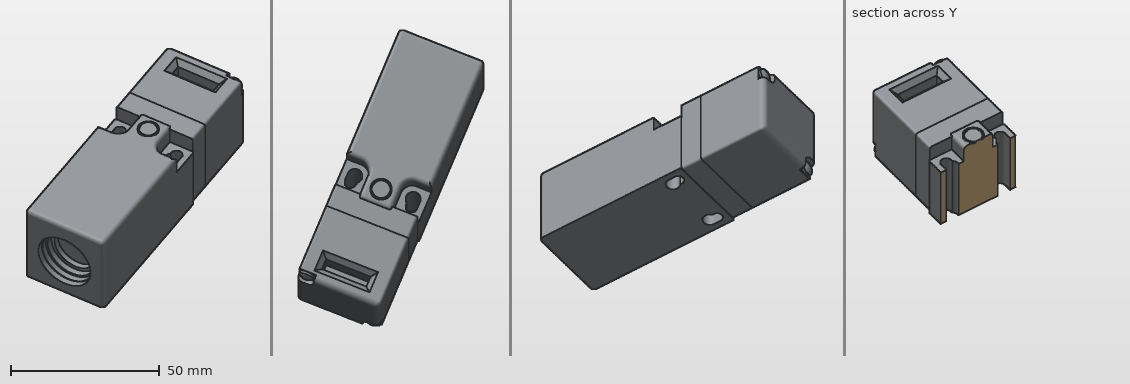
import cadquery as cq

TOTAL_LENGTH = 92.9

HOUSING_SIZE = 30.8
HOUSING_LENGTH = 58.6
EDGE_RADIUS = 1.5
TONGUE_CORNER_RADIUS = 0.7
REAR_EDGE_RADIUS = 0.5

LEDGE_HEIGHT = 24.25
LEDGE_START = 47.5
LEDGE_CORNER_RADIUS = 4.0
TONGUE_WIDTH = 12.0
TONGUE_END = 60.2

KEYHOLE_HEAD_DIAMETER = 5.0
KEYHOLE_SLOT_WIDTH = 4.0
KEYHOLE_HEAD_Y = 51.9
KEYHOLE_SLOT_Y = 54.5
KEYHOLE_OUTER_X = 13.1

RING_OUTER_DIAMETER = 7.2
RING_INNER_DIAMETER = 6.2
RING_Y = 54.5
RING_DEPTH = 0.5

ENTRY_Z = 14.3
ENTRY_STEPS = [(20.4, 2.3), (20.0, 4.55), (18.6, 6.9), (16.0, 9.0)]

HEAD_SIZE = 30.0
HEAD_BASE_Z = 0.2
HEAD_START = 66.7
HEAD_SIDE_RADIUS = 0.9
HEAD_END_RADIUS = 2.0

SLOT_LENGTH = 20.0
SLOT_WIDTH = 7.6
SLOT_Y = 85.4
SLOT_LEAD_IN = 1.95
SLOT_DEPTH = 9.3

POCKET_SIZE = 6.1
POCKET_DEPTH = 2.5
SCREW_DIAMETER = 5.3
POCKET_CORNER_RADIUS = 3.1
SCREW_INSET = 3.0
SCREW_RIM_HEIGHT = 0.9
SCREW_DOME_HEIGHT = 1.0

HALF_HOUSING = HOUSING_SIZE / 2
HALF_TONGUE = TONGUE_WIDTH / 2
HEAD_TOP_Z = HEAD_BASE_Z + HEAD_SIZE
HEAD_MIDDLE_Z = HEAD_BASE_Z + HEAD_SIZE / 2


def box(x_range, y_range, z_range):
    """Box between two limits on each axis."""
    (x0, x1), (y0, y1), (z0, z1) = x_range, y_range, z_range
    return cq.Workplane("XY").box(x1 - x0, y1 - y0, z1 - z0, centered=False).translate((x0, y0, z0))


def cylinder_along_y(diameter, x, z, y_start, length):
    """Cylinder pointing to +Y from y_start."""
    circle = cq.Workplane("XZ", origin=(x, y_start, z)).circle(diameter / 2)
    return circle.extrude(-length)


def square_bar(y_start, y_end):
    """Length of the head section with rounded long edges."""
    half = HEAD_SIZE / 2
    bar = box((-half, half), (y_start, y_end), (HEAD_BASE_Z, HEAD_TOP_Z))
    return bar.edges("|Y").fillet(HEAD_SIDE_RADIUS)


def housing_upper():
    """Layer above the ledges: full width in front, narrowing to the tongue."""
    flank_y = LEDGE_START + LEDGE_CORNER_RADIUS
    flank_x = HALF_TONGUE + LEDGE_CORNER_RADIUS
    outline = (
        cq.Workplane("XY", origin=(0, 0, LEDGE_HEIGHT))
        .moveTo(-HALF_HOUSING, 0)
        .lineTo(HALF_HOUSING, 0)
        .lineTo(HALF_HOUSING, LEDGE_START)
        .lineTo(flank_x, LEDGE_START)
        .radiusArc((HALF_TONGUE, flank_y), LEDGE_CORNER_RADIUS)
        .lineTo(HALF_TONGUE, TONGUE_END)
        .lineTo(-HALF_TONGUE, TONGUE_END)
        .lineTo(-HALF_TONGUE, flank_y)
        .radiusArc((-flank_x, LEDGE_START), LEDGE_CORNER_RADIUS)
        .lineTo(-HALF_HOUSING, LEDGE_START)
        .close()
    )
    layer = outline.extrude(HOUSING_SIZE - LEDGE_HEIGHT)
    return layer.faces(">Y").edges("|Z").fillet(TONGUE_CORNER_RADIUS)


def housing_shell():
    """Outer block of the housing with its rounded edges."""
    lower = box((-HALF_HOUSING, HALF_HOUSING), (0, HOUSING_LENGTH), (0, LEDGE_HEIGHT))
    lower = lower.edges("|Z and >Y").fillet(REAR_EDGE_RADIUS)
    shell = lower.union(housing_upper())
    front_uprights = shell.faces("<Y").edges("|Z").vals()
    top_rim = shell.faces(">Z").edges().vals()
    return shell.newObject(front_uprights + top_rim).fillet(EDGE_RADIUS)


def keyhole(side):
    """Keyhole through the ledge on one side, side = -1 or 1."""
    head_x = side * (KEYHOLE_OUTER_X - KEYHOLE_HEAD_DIAMETER / 2)
    slot_x = side * (KEYHOLE_OUTER_X - KEYHOLE_SLOT_WIDTH / 2)
    slot_span = KEYHOLE_SLOT_Y - KEYHOLE_HEAD_Y
    head = cq.Workplane("XY").center(head_x, KEYHOLE_HEAD_Y).circle(KEYHOLE_HEAD_DIAMETER / 2)
    slot = (
        cq.Workplane("XY")
        .center(slot_x, (KEYHOLE_SLOT_Y + KEYHOLE_HEAD_Y) / 2)
        .slot2D(slot_span + KEYHOLE_SLOT_WIDTH, KEYHOLE_SLOT_WIDTH, 90)
    )
    return head.extrude(HOUSING_SIZE).union(slot.extrude(HOUSING_SIZE))


def ring_groove():
    """Shallow ring in the tongue top."""
    ring = (
        cq.Workplane("XY", origin=(0, RING_Y, HOUSING_SIZE - RING_DEPTH))
        .circle(RING_OUTER_DIAMETER / 2)
        .circle(RING_INNER_DIAMETER / 2)
    )
    return ring.extrude(RING_DEPTH)


def make_housing():
    body = housing_shell().union(square_bar(HOUSING_LENGTH, HEAD_START))
    for side in (-1, 1):
        body = body.cut(keyhole(side))
    body = body.cut(ring_groove())
    for diameter, depth in ENTRY_STEPS:
        body = body.cut(cylinder_along_y(diameter, 0, ENTRY_Z, 0, depth))
    return body


def actuator_slot():
    """Blind slot from the head top with a sloped lead-in all round."""
    throat_length = SLOT_LENGTH - 2 * SLOT_LEAD_IN
    throat_width = SLOT_WIDTH - 2 * SLOT_LEAD_IN
    lead_in = (
        cq.Workplane("XY", origin=(0, SLOT_Y, HEAD_TOP_Z))
        .rect(SLOT_LENGTH, SLOT_WIDTH)
        .workplane(offset=-SLOT_LEAD_IN)
        .rect(throat_length, throat_width)
        .loft(ruled=True)
    )
    throat = (
        cq.Workplane("XY", origin=(0, SLOT_Y, HEAD_TOP_Z - SLOT_DEPTH))
        .rect(throat_length, throat_width)
        .extrude(SLOT_DEPTH - SLOT_LEAD_IN)
    )
    return lead_in.union(throat)


def corner_pocket(side):
    """Pocket in a corner of the end face: upper corner at +X, lower corner at -X."""
    corner_offset = side * (HEAD_SIZE - POCKET_SIZE) / 2
    inner_corner = "<X and <Z" if side > 0 else ">X and >Z"
    pocket = box(
        (-POCKET_SIZE / 2, POCKET_SIZE / 2),
        (TOTAL_LENGTH - POCKET_DEPTH, TOTAL_LENGTH),
        (-POCKET_SIZE / 2, POCKET_SIZE / 2),
    )
    pocket = pocket.edges("|Y").edges(inner_corner).fillet(POCKET_CORNER_RADIUS)
    return pocket.translate((corner_offset, 0, HEAD_MIDDLE_Z + corner_offset))


def screw_head(side):
    """Domed screw head standing on the pocket floor, revolved about its own Y axis."""
    radius = SCREW_DIAMETER / 2
    axis_offset = side * (HEAD_SIZE / 2 - SCREW_INSET)
    crown = SCREW_RIM_HEIGHT + SCREW_DOME_HEIGHT
    dome_radius = (radius**2 + SCREW_DOME_HEIGHT**2) / (2 * SCREW_DOME_HEIGHT)
    profile = (
        cq.Workplane("XY")
        .lineTo(radius, 0)
        .lineTo(radius, SCREW_RIM_HEIGHT)
        .radiusArc((0, crown), -dome_radius)
        .close()
    )
    screw = profile.revolve(360, (0, 0, 0), (0, 1, 0))
    return screw.translate((axis_offset, TOTAL_LENGTH - POCKET_DEPTH, HEAD_MIDDLE_Z + axis_offset))


def make_head():
    body = square_bar(HEAD_START, TOTAL_LENGTH)
    body = body.faces(">Y").edges().fillet(HEAD_END_RADIUS)
    body = body.cut(actuator_slot())
    for side in (-1, 1):
        body = body.cut(corner_pocket(side)).union(screw_head(side))
    return body


housing = make_housing()
head = make_head()

result = cq.Compound.makeCompound([housing.val(), head.val()])